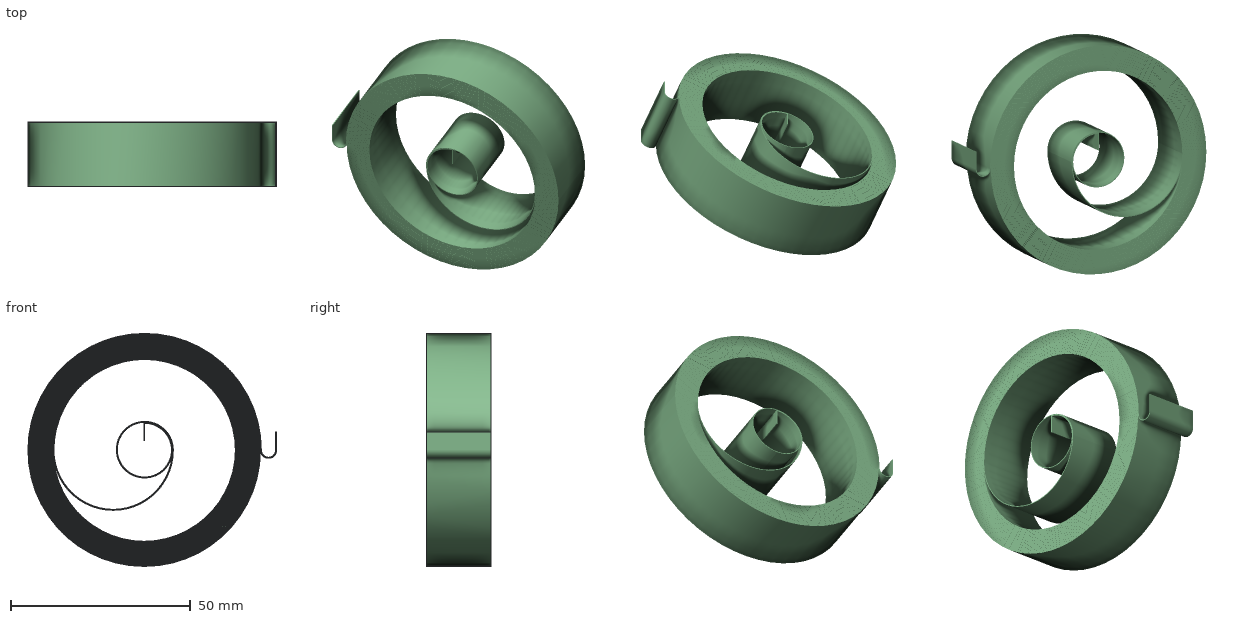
import cadquery as cq
import math

strip_width = 18.0
strip_thickness = 0.24
turn_gap = 0.01
half_turn_growth = (strip_thickness + turn_gap) / 2

overall_length = 69.25
overall_height = 64.9
ring_turns = 29

hub_radius = 7.6
tab_length = 5.0

hook_leg = 5.0

last_ring_radius = (overall_height - strip_thickness + half_turn_growth) / 2
ring_arc_count = 2 * ring_turns - 1
first_ring_radius = last_ring_radius - (ring_arc_count - 1) * half_turn_growth

hook_radius = (overall_length - strip_thickness) / 2 - last_ring_radius

hub_outer_radius = hub_radius + 2 * half_turn_growth
lead_in_radius = (hub_outer_radius + first_ring_radius) / 2

hub_arcs = [
    (hub_radius, -180),
    (hub_radius + half_turn_growth, -180),
    (hub_outer_radius, -90),
]
lead_in_arc = (lead_in_radius, -180)
ring_arcs = [(first_ring_radius + i * half_turn_growth, -180) for i in range(ring_arc_count)]
hook_arc = (hook_radius, 180)
centre_line_arcs = hub_arcs + [lead_in_arc] + ring_arcs + [hook_arc]


def left_of(point, heading, distance):
    """The point `distance` to the left of `point` for a traveller facing `heading`."""
    x, z = point
    return (x - distance * math.sin(heading), z + distance * math.cos(heading))


def strip_side(offset):
    """Start, middle and end of every arc, on the side lying `offset` left of the centre line."""
    point = (0.0, hub_radius)
    heading = 0.0
    side = []
    for radius, turn in centre_line_arcs:
        signed_radius = math.copysign(radius, turn)
        centre = left_of(point, heading, signed_radius)
        middle_heading = heading + math.radians(turn / 2)
        end_heading = heading + math.radians(turn)
        headings = (heading, middle_heading, end_heading)
        side.append([left_of(centre, h, offset - signed_radius) for h in headings])
        point = left_of(centre, end_heading, -signed_radius)
        heading = end_heading
    return side


def coiled_strip():
    left = strip_side(strip_thickness / 2)
    right = strip_side(-strip_thickness / 2)
    outline = cq.Workplane("XZ").moveTo(*left[0][0])
    for _, middle, end in left:
        outline = outline.threePointArc(middle, end)
    outline = outline.line(0, hook_leg).line(strip_thickness, 0).line(0, -hook_leg)
    for start, middle, _ in reversed(right):
        outline = outline.threePointArc(middle, start)
    return outline.close().extrude(strip_width / 2, both=True)


def hub_tab():
    """The inner end of the strip, bent square toward the middle of the hub."""
    tab_top = hub_radius + strip_thickness / 2
    return cq.Workplane("XY").box(strip_thickness, strip_width, tab_length).translate(
        (-strip_thickness / 2, 0, tab_top - tab_length / 2)
    )


result = coiled_strip().union(hub_tab())